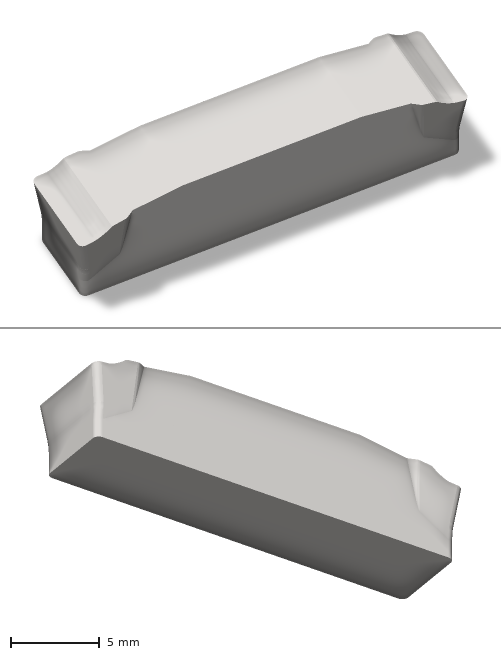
import cadquery as cq
import math

LENGTH = 24.8
HEIGHT = 6.13
BODY_WIDTH = 5.19
HALF_LENGTH = LENGTH / 2
BODY_HALF = BODY_WIDTH / 2

TIP_HEIGHT = 4.66
LAND_INSET = 1.0
LAND_HEIGHT = 4.8
GROOVE_END_INSET = 2.05
GROOVE_END_HEIGHT = 5.4
GROOVE_SAG = 0.07
CREST_INSET = 2.18
CREST_HEIGHT = 5.45
RIDGE_INSET = 6.7

HEEL_INSET = 0.35
FLANK_BEND_HEIGHT = 2.08
FLANK_BEND_RADIUS = 2.98
CORNER_RADIUS = 0.4

SIDE_LEAN = 0.11
SIDE_START_INSET = 0.75
SIDE_START_HEIGHT = 1.22
SIDE_END_INSET = 2.8
SIDE_END_HEIGHT = 2.48
SIDE_RISE = (SIDE_END_HEIGHT - SIDE_START_HEIGHT) / (SIDE_END_INSET - SIDE_START_INSET)

SHOULDER_TOP_INSET = 3.55
SHOULDER_TOP_HEIGHT = 5.63
SHOULDER_LEAN = (SHOULDER_TOP_INSET - SIDE_END_INSET) / (SHOULDER_TOP_HEIGHT - SIDE_END_HEIGHT)
SHOULDER_SLOPE = 1.6
SHOULDER_RADIUS = 0.37
HEAD_CORE_HALF = 1.5

SELECT_MARGIN = 0.25


def end_prism(half_width):
    """Plain bar with both shaped end faces, without rounded corners or top form."""
    heel_y = HALF_LENGTH - HEEL_INSET
    flank_slope = HEEL_INSET / (TIP_HEIGHT - FLANK_BEND_HEIGHT)
    top_y = heel_y + flank_slope * (HEIGHT - FLANK_BEND_HEIGHT)
    bar = (
        cq.Workplane("YZ")
        .moveTo(-heel_y, 0)
        .lineTo(heel_y, 0)
        .lineTo(heel_y, FLANK_BEND_HEIGHT)
        .lineTo(top_y, HEIGHT)
        .lineTo(-top_y, HEIGHT)
        .lineTo(-heel_y, FLANK_BEND_HEIGHT)
        .close()
        .extrude(half_width, both=True)
    )
    bend_zone = cq.selectors.BoxSelector(
        (-half_width, -HALF_LENGTH, FLANK_BEND_HEIGHT - SELECT_MARGIN),
        (half_width, HALF_LENGTH, FLANK_BEND_HEIGHT + SELECT_MARGIN),
    )
    return bar.edges("|X").edges(bend_zone).fillet(FLANK_BEND_RADIUS)


def round_end_corners(solid, end_signs):
    """Round the upright corner edges at the selected ends."""
    corners = []
    for edge in solid.edges("not(|X or |Y)").vals():
        center = edge.Center()
        near_end = abs(center.y) > HALF_LENGTH - SIDE_START_INSET
        if near_end and math.copysign(1, center.y) in end_signs:
            corners.append(edge)
    return solid.newObject(corners).fillet(CORNER_RADIUS)


def head_section(z):
    """Horizontal section of the -Y head envelope at height z."""
    def side_x(inset):
        drop = SIDE_RISE * (inset - SIDE_START_INSET)
        return BODY_HALF + SIDE_LEAN * (z - SIDE_START_HEIGHT - drop)

    body_inset = SIDE_END_INSET + SHOULDER_LEAN * (z - SIDE_END_HEIGHT)
    side_shift = side_x(body_inset) - BODY_HALF
    side_taper = SIDE_LEAN * SIDE_RISE
    meet_inset = body_inset - side_shift * SHOULDER_SLOPE / (1 - side_taper * SHOULDER_SLOPE)
    core_inset = body_inset + SHOULDER_SLOPE * (BODY_HALF - HEAD_CORE_HALF)
    front_inset = -HEEL_INSET
    half = [
        (side_x(front_inset), front_inset - HALF_LENGTH),
        (side_x(meet_inset), meet_inset - HALF_LENGTH),
        (HEAD_CORE_HALF, core_inset - HALF_LENGTH),
    ]
    points = half + [(-x, y) for x, y in reversed(half)]
    return cq.Wire.makePolygon([cq.Vector(x, y, z) for x, y in points], close=True)


def make_head():
    """Flared cutting head at the -Y end."""
    envelope = cq.Solid.makeLoft([head_section(0), head_section(HEIGHT)], True)
    blank = cq.Workplane(envelope)
    shoulder_zone = cq.selectors.BoxSelector(
        (-BODY_WIDTH, SIDE_START_INSET - HALF_LENGTH, HEIGHT / 4),
        (BODY_WIDTH, SHOULDER_TOP_INSET - HALF_LENGTH, HEIGHT * 3 / 4),
    )
    blank = blank.edges("not(|X or |Y or #Z)").edges(shoulder_zone).fillet(SHOULDER_RADIUS)
    blank = blank.intersect(end_prism(BODY_WIDTH))
    return round_end_corners(blank, (-1,))


def top_form():
    """Region below the top surface: ridge, sloped shoulders, grooves and lands."""
    def at(inset):
        return HALF_LENGTH - inset

    mid_y = at((LAND_INSET + GROOVE_END_INSET) / 2)
    mid_z = (LAND_HEIGHT + GROOVE_END_HEIGHT) / 2 - GROOVE_SAG
    half = (
        cq.Workplane("YZ")
        .lineTo(HALF_LENGTH, 0)
        .lineTo(HALF_LENGTH, TIP_HEIGHT)
        .lineTo(at(LAND_INSET), LAND_HEIGHT)
        .threePointArc((mid_y, mid_z), (at(GROOVE_END_INSET), GROOVE_END_HEIGHT))
        .lineTo(at(CREST_INSET), CREST_HEIGHT)
        .lineTo(at(RIDGE_INSET), HEIGHT)
        .lineTo(0, HEIGHT)
        .close()
        .extrude(BODY_WIDTH, both=True)
    )
    return half.union(half.mirror("XZ"))


body = round_end_corners(end_prism(BODY_HALF), (-1, 1))
head = make_head()
result = body.union(head).union(head.mirror("XZ")).intersect(top_form())